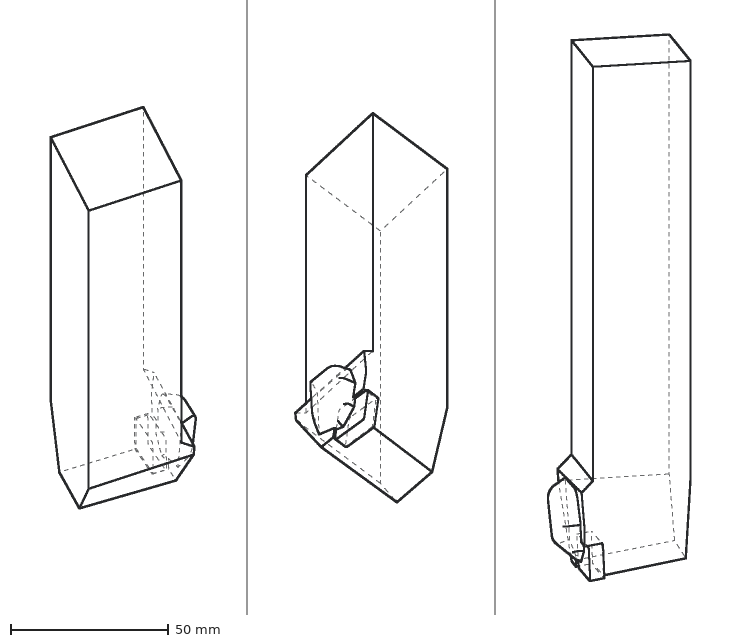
import cadquery as cq
import math


shank_size = 31.87
tool_length = 171.35
head_depth = 40.0
shoulder_z = 34.4
shoulder_rise = head_depth - shank_size

flank_point = (0, 0, 33.7)
flank_normal = (-1, -0.101, -0.25)
end_point = (7.2, 0, 4.9)
end_normal = (0.0775, -0.122, -1)
side_foot = (24.0, 6.2)
side_top_z = 26.0
side_normal = (side_top_z - side_foot[1], 0, side_foot[0] - shank_size)
face_point = (0, 33.1, 0)
face_normal = (-0.03, 1, -0.08)
trim_size = 400.0

insert_edge = 12.9
insert_thickness = 4.76
insert_corner_radius = 0.8
insert_corner_angle = 100.0
insert_end_angle = 5.0
insert_tip = (4.25, 31.8, -0.06)
rake_x = 0.07
rake_z = 0.12
pocket_clearance_height = 6.0

clamp_height = 6.95
clamp_root = 3.0
clamp_draft = 14.0
clamp_edge_radius = 4.0
clamp_corner_radius = 4.0
clamp_root_outline = [(0.1, 18.9), (2.6, 9.0), (8.6, 3.2), (20.0, 9.0), (20.0, 30.7), (2.4, 30.7)]
nose_bevel_point = (8.0, 40.0, 11.3)
nose_bevel_normal = (-0.2, 1, -1)
side_bevel_point = (21.6, 36.2, 24.0)
side_bevel_normal = (1, 0.6, 0)


def beyond(point, normal):
    """Block that fills the space on the outer side of a plane."""
    plane = cq.Plane(origin=point, normal=normal)
    return cq.Workplane(plane).rect(trim_size, trim_size).extrude(trim_size)


rake_plane = cq.Plane(origin=insert_tip, xDir=(1, rake_x, 0), normal=(rake_x, -1, rake_z))


def insert_prism(bottom, top):
    """Rhombic prism with rounded corners, from a depth below the rake face to a height above it."""
    end_angle = math.radians(insert_end_angle)
    flank_angle = math.radians(insert_end_angle + insert_corner_angle)
    end_edge = cq.Vector(math.cos(end_angle), math.sin(end_angle)) * insert_edge
    flank_edge = cq.Vector(math.cos(flank_angle), math.sin(flank_angle)) * insert_edge
    corners = [cq.Vector(0, 0), end_edge, end_edge + flank_edge, flank_edge]
    return (
        cq.Workplane(rake_plane).workplane(offset=-top)
        .polyline([(corner.x, corner.y) for corner in corners]).close()
        .extrude(bottom + top)
        .edges(cq.selectors.ParallelDirSelector(rake_plane.zDir))
        .fillet(insert_corner_radius)
    )


def make_head_and_shank():
    side_profile = [
        (0, 0),
        (head_depth, 0),
        (head_depth, shoulder_z - shoulder_rise),
        (shank_size, shoulder_z),
        (shank_size, tool_length),
        (0, tool_length),
    ]
    body = cq.Workplane("YZ").polyline(side_profile).close().extrude(shank_size)
    for point, normal in [
        (flank_point, flank_normal),
        (end_point, end_normal),
        ((side_foot[0], 0, side_foot[1]), side_normal),
        (face_point, face_normal),
    ]:
        body = body.cut(beyond(point, normal))
    return body


def make_clamp():
    clamp = (
        cq.Workplane(rake_plane).workplane(offset=clamp_root)
        .polyline(clamp_root_outline).close()
        .extrude(-clamp_height - clamp_root, taper=clamp_draft)
    )
    clamp = clamp.edges("<(1, 0, -1)").fillet(clamp_corner_radius)
    clamp = clamp.cut(beyond(nose_bevel_point, nose_bevel_normal))
    top_face = cq.selectors.DirectionSelector(-rake_plane.zDir)
    nose_bevel = cq.selectors.DirectionSelector(cq.Vector(*nose_bevel_normal))
    clamp = clamp.faces(top_face + nose_bevel).edges().fillet(clamp_edge_radius)
    return clamp.cut(beyond(side_bevel_point, side_bevel_normal))


insert = insert_prism(insert_thickness, 0)
holder = make_head_and_shank().cut(insert_prism(insert_thickness, pocket_clearance_height))
holder = holder.union(make_clamp()).cut(insert)

result = cq.Compound.makeCompound([holder.solids().val(), insert.solids().val()])